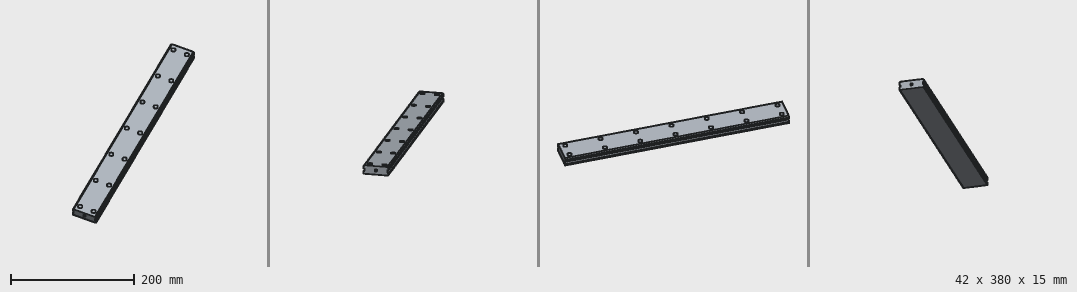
import cadquery as cq

width = 42.0
length = 380.0
height = 15.0

side = width / 2
base_half_width = 20.0
groove_lip_half_width = 20.0
groove_half_width = 19.0
head_half_width = 19.8
top_half_width = 19.0

base_chamfer_top = 1.0
lower_land_top = 3.5
lower_lip = 4.5
groove_floor_bottom = 6.5
groove_floor_top = 8.5
upper_lip = 9.5
upper_land_bottom = 10.3
upper_land_top = 12.5
head_bend = 13.5

hole_diameter = 7.2
hole_depth = 0.2
hole_row_spacing = 24.0
hole_pitch = 60.0
holes_per_row = 7

end_hole_diameter = 3.8
end_hole_depth = 3.8


def make_rail():
    """Extrude the mirrored rail cross-section along Y."""
    right_side = [
        (base_half_width, 0),
        (side, base_chamfer_top),
        (side, lower_land_top),
        (groove_lip_half_width, lower_lip),
        (groove_half_width, groove_floor_bottom),
        (groove_half_width, groove_floor_top),
        (groove_lip_half_width, upper_lip),
        (side, upper_land_bottom),
        (side, upper_land_top),
        (head_half_width, head_bend),
        (top_half_width, height),
    ]
    left_side = [(-x, z) for x, z in reversed(right_side)]
    section = cq.Workplane("XZ").polyline(right_side + left_side).close()
    return section.extrude(length / 2, both=True)


def make_mounting_holes():
    """Shallow flat-bottomed holes sunk into the top face."""
    return (
        cq.Workplane("XY", origin=(0, 0, height))
        .rarray(hole_row_spacing, hole_pitch, 2, holes_per_row)
        .circle(hole_diameter / 2)
        .extrude(-hole_depth)
    )


def make_end_hole():
    """Blind hole running in +Y from the front end face."""
    return (
        cq.Workplane("XZ", origin=(0, -length / 2, height / 2))
        .circle(end_hole_diameter / 2)
        .extrude(-end_hole_depth)
    )


result = make_rail().cut(make_mounting_holes()).cut(make_end_hole())